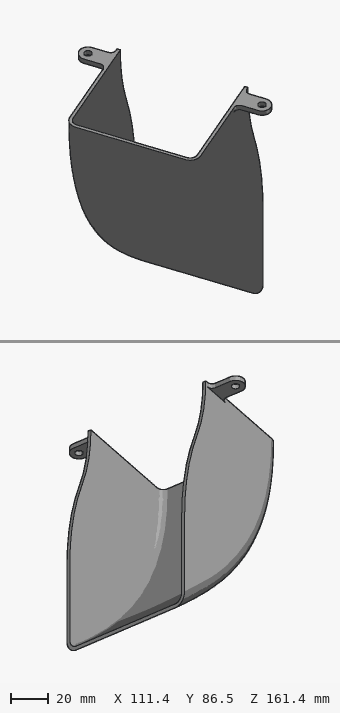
import cadquery as cq
import math


height = 161.4
depth = 86.5
tab_span = 111.4
chute_width = 76.0
wall = 2.0
front_corner_radius = 6.1

front_tip_angle = math.radians(46)
front_mouth_pull = 76.8
front_tip_pull = 51.8

back_setback = 19.5
back_upper_radius = 110.9
back_upper_drop = 40.8

tab_thickness = 3.0
tab_width = 10.3
tab_root_radius = 3.0
hole_diameter = 4.4
tab_to_back = 29.2

front_y = -depth / 2
back_y = depth / 2
tab_y = back_y - tab_to_back
clearance = 16.1


def arc_point(start, radius, angle):
    """Point reached from start along an arc that sets off straight down and turns towards +Y by angle."""
    y, z = start
    return (y + radius * (1 - math.cos(angle)), z - radius * math.sin(angle))


def body_behind_front(inset):
    """Body filling everything behind the front curve, with front and sides moved inward by inset."""
    slope_y = math.sin(front_tip_angle)
    slope_z = -math.cos(front_tip_angle)

    mouth = (front_y + inset, height)
    mouth_handle = (mouth[0], height - front_mouth_pull)
    tip = (back_y - slope_z * inset, slope_y * inset)
    tip_handle = (tip[0] - front_tip_pull * slope_y, tip[1] - front_tip_pull * slope_z)

    foot = (tip[0] + clearance * slope_y, tip[1] + clearance * slope_z)
    rear_y = foot[0] + clearance

    half_width = chute_width / 2 - inset
    body = (
        cq.Workplane("YZ", origin=(-half_width, 0, 0))
        .moveTo(*mouth)
        .bezier([mouth_handle, tip_handle, tip], includeCurrent=True)
        .lineTo(*foot)
        .lineTo(rear_y, foot[1])
        .lineTo(rear_y, height)
        .close()
        .extrude(2 * half_width)
    )
    return body.edges("%BEZIER").fillet(front_corner_radius - inset)


def back_trim():
    """Body in front of the S-shaped back edge."""
    s_angle = math.asin(back_upper_drop / back_upper_radius)
    mouth = (back_y - back_setback, height)
    upper_middle = arc_point(mouth, back_upper_radius, s_angle / 2)
    joint = arc_point(mouth, back_upper_radius, s_angle)
    lower_radius = (back_y - joint[0]) / (1 - math.cos(s_angle))
    foot = (back_y, joint[1] - lower_radius * math.sin(s_angle))

    return (
        cq.Workplane("YZ")
        .moveTo(front_y - clearance, height)
        .lineTo(*mouth)
        .threePointArc(upper_middle, joint)
        .tangentArcPoint(foot, relative=False)
        .lineTo(back_y, -clearance)
        .lineTo(front_y - clearance, -clearance)
        .close()
        .extrude(chute_width, both=True)
    )


def mounting_tab():
    """Round-ended tab on the +X side, flush with the mouth and flared into the side wall."""
    half_width = tab_width / 2
    wall_x = chute_width / 2
    buried_x = wall_x - wall / 2
    neck_x = wall_x + tab_root_radius
    hole_x = tab_span / 2 - half_width
    root_half_width = half_width + tab_root_radius

    return (
        cq.Workplane("XY", origin=(0, tab_y, height))
        .moveTo(buried_x, -root_half_width)
        .lineTo(wall_x, -root_half_width)
        .radiusArc((neck_x, -half_width), tab_root_radius)
        .lineTo(hole_x, -half_width)
        .threePointArc((tab_span / 2, 0), (hole_x, half_width))
        .lineTo(neck_x, half_width)
        .radiusArc((wall_x, root_half_width), tab_root_radius)
        .lineTo(buried_x, root_half_width)
        .close()
        .extrude(-tab_thickness)
        .moveTo(hole_x, 0)
        .circle(hole_diameter / 2)
        .cutThruAll()
    )


chute = body_behind_front(0).cut(body_behind_front(wall)).intersect(back_trim())
tab = mounting_tab()
result = chute.union(tab).union(tab.mirror("YZ"))